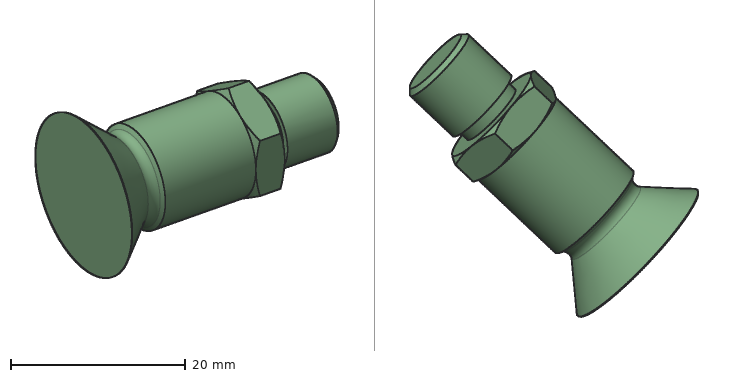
import cadquery as cq
import math

cup_radius = 20.0 / 2
neck_radius = 5.52
cup_top_radius = 5.7
neck_top_radius = 5.9
body_radius = 6.5
undercut_radius = 8.0 / 2
thread_radius = 9.72 / 2

rim_height = 0.1
cup_top = 5.15
neck_waist = 5.8
neck_top = 6.63
body_start = 7.0
hex_start = 19.5
hex_end = 23.5
undercut_end = 25.0
total_length = 32.5

thread_chamfer = 0.62
hex_across_flats = 2 * body_radius
hex_corner_radius = hex_across_flats / math.sqrt(3)
hex_chamfer_angle = 30.0


def turned_body():
    """Suction cup, waisted neck, body and threaded stud in one revolve about Y."""
    profile = (
        cq.Workplane("XY")
        .lineTo(cup_radius, 0)
        .lineTo(cup_radius, rim_height)
        .lineTo(cup_top_radius, cup_top)
        .threePointArc((neck_radius, neck_waist), (neck_top_radius, neck_top))
        .lineTo(body_radius, body_start)
        .lineTo(body_radius, hex_start)
        .lineTo(undercut_radius, hex_start)
        .lineTo(undercut_radius, undercut_end)
        .lineTo(thread_radius, undercut_end)
        .lineTo(thread_radius, total_length - thread_chamfer)
        .lineTo(thread_radius - thread_chamfer, total_length)
        .lineTo(0, total_length)
        .close()
    )
    return profile.revolve(360, (0, 0, 0), (0, 1, 0))


def hexagon():
    """Wrench hexagon with corners on Z and both ends chamfered conically."""
    corners = [
        (hex_corner_radius * math.sin(i * math.pi / 3), hex_corner_radius * math.cos(i * math.pi / 3))
        for i in range(6)
    ]
    prism = (
        cq.Workplane("XZ", origin=(0, hex_start, 0))
        .polyline(corners)
        .close()
        .extrude(hex_start - hex_end)
    )
    flat_radius = hex_across_flats / 2
    chamfer_height = (hex_corner_radius - flat_radius) * math.tan(math.radians(hex_chamfer_angle))
    envelope = (
        cq.Workplane("XY")
        .moveTo(0, hex_start)
        .lineTo(flat_radius, hex_start)
        .lineTo(hex_corner_radius, hex_start + chamfer_height)
        .lineTo(hex_corner_radius, hex_end - chamfer_height)
        .lineTo(flat_radius, hex_end)
        .lineTo(0, hex_end)
        .close()
        .revolve(360, (0, 0, 0), (0, 1, 0))
    )
    return prism.intersect(envelope)


result = turned_body().union(hexagon())